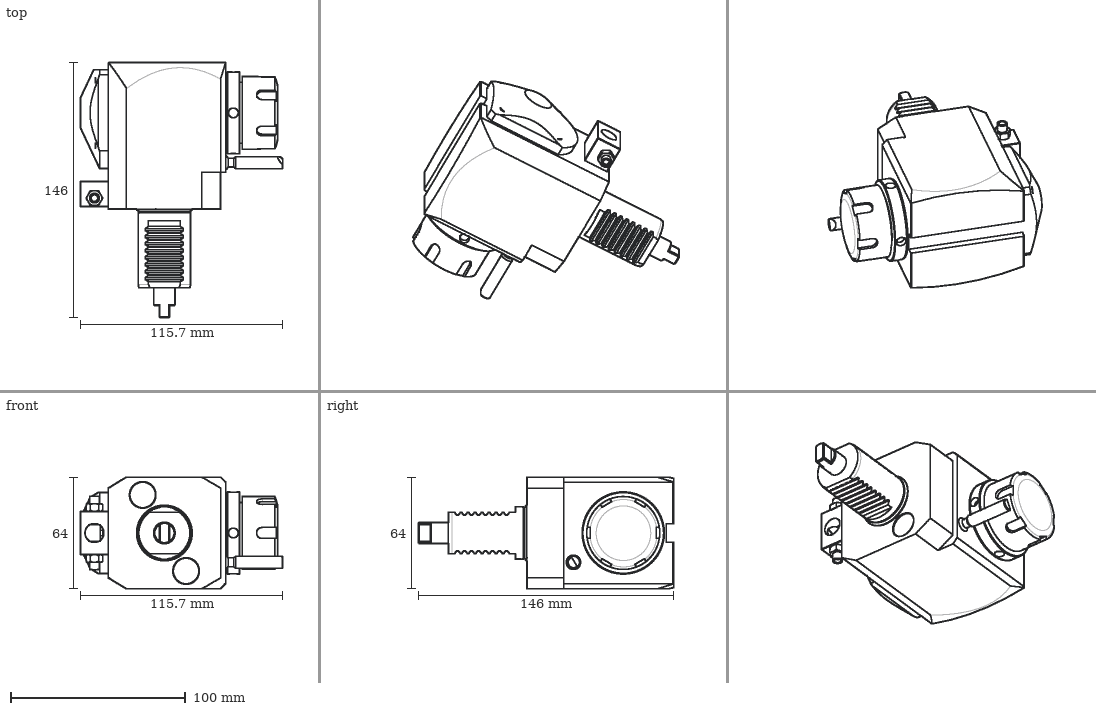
import cadquery as cq
import math


body_length = 84.0
body_half_height = 32.0
body_left = -32.1
body_right = 35.2
front_right = 32.1
step_length = 21.0
bevel_width = 10.4
bevel_drop = 6.3
front_bevel_width = 10.8
right_chamfer = 3.0
back_edge_chamfer = 0.6
back_slot_width = 10.4
back_slot_depth = 4.2
crown_radius = 155.3
crown_x = 9.0
crown_back_height = 31.2
crown_angle = 14.2

plug_x = 12.4
plug_z = 21.8
plug_radius = 7.6
plug_depth = 0.5
plug_slant = 0.3

spindle_y = 55.0

left_end = -48.0
cover_radius = 31.8
cover_rim = 5.0
cover_tip_radius = 8.6
cover_half_height = 23.2
cover_back = body_length - back_slot_depth
cover_corner = 2.0
facet_start = 5.7
facet_angle = 31.7
screw_offset = 17.1
screw_radius = 3.0
screw_head_x = -39.5

block_half_height = 12.5
block_front = 1.3
block_depth = 14.7
block_edge = 0.3
block_axis_x = -40.0
side_port_y = 8.8
side_port_radius = 4.8
side_port_depth = 11.2
feed_radius = 1.5
feed_depth = 1.5
front_port_radius = 5.4
front_port_depth = side_port_y - block_front
fitting_y = 6.3
hex_flats = 8.2
hex_height = 4.1
hex_edge = 0.5
fitting_radius = 2.8
fitting_height = 4.4
socket_radius = 1.9
socket_depth = 2.2

shank_radius = 15.0
shank_length = 45.0
shank_taper = 0.5
shank_taper_length = 1.9
collar_radius = 15.9
collar_length = 0.5
relief_radius = 14.6
relief_start = 1.5
relief_end = 2.2
flat_height = 12.0
flat_start = 6.5
groove_count = 8
groove_span = 28.0
groove_start = 11.7
groove_depth = 1.6
groove_half_top = 1.8
groove_half_floor = 0.6
drive_radius = 6.1
drive_end = 55.2
tang_end = 62.0
tang_half_width = 3.0
tang_chamfer = 0.6

gap_radius = 22.9
ring_start = 35.8
ring_end = 43.2
ring_radius = 23.5
ring_chamfer = 0.5
neck_radius = 17.5
nut_start = 44.4
nut_radius = 20.9
nut_edge_start = 63.0
nut_edge_end = 63.8
nut_edge_radius = 19.3
nut_end = 64.8
nut_tip_radius = 15.6
nut_slots = 6
nut_slot_start = 52.7
nut_slot_width = 6.3
nut_slot_floor = 18.8
ring_holes = 4
ring_hole_x = 39.4
ring_hole_radius = 2.8
ring_hole_depth = 3.6

pipe_y = 26.5
pipe_z = -16.8
pipe_radius = 3.5
pipe_start = 40.9
pipe_end = 67.7
pipe_neck_radius = 2.6
pipe_collar_radius = 4.1
pipe_collar_end = 36.5
pipe_taper = 1.2
pipe_edge = 0.5
pipe_bevel = 2.9


def x_cylinder(radius, x_from, x_to, y, z):
    return cq.Workplane("YZ", origin=(x_from, y, z)).circle(radius).extrude(x_to - x_from)


def y_plate(points, y_from, y_to):
    """Prism along Y from an X-Z outline."""
    return cq.Workplane("XZ", origin=(0, y_to, 0)).polyline(points).close().extrude(y_to - y_from)


def mirrored_outline(upper):
    """Close an X-Z outline symmetric about Z = 0."""
    return upper + [(x, -z) for x, z in reversed(upper)]


def make_body():
    bevel_left = [
        (body_left, body_half_height - bevel_drop),
        (body_left + bevel_width, body_half_height),
    ]
    rear_right = [
        (body_right - right_chamfer, body_half_height),
        (body_right, body_half_height - right_chamfer),
    ]
    front_bevel = [
        (front_right - front_bevel_width, body_half_height),
        (front_right, body_half_height - bevel_drop),
    ]
    rear = y_plate(mirrored_outline(bevel_left + rear_right), step_length, body_length)
    rear = rear.edges("|Z and >Y").chamfer(back_edge_chamfer)
    front = y_plate(mirrored_outline(bevel_left + front_bevel), 0, step_length)
    body = front.union(rear)
    front_radius = crown_radius + body_length * math.tan(math.radians(crown_angle))
    for side in (1, -1):
        crown_z = side * (crown_back_height - crown_radius)
        crown = cq.Solid.makeCone(
            front_radius, crown_radius, body_length,
            pnt=cq.Vector(crown_x, 0, crown_z), dir=cq.Vector(0, 1, 0),
        )
        body = body.intersect(cq.Workplane(crown))
    return body


def cut_plug_recess(body, x, z):
    recess = cq.Solid.makeCone(
        plug_radius, plug_radius - plug_slant, plug_depth,
        pnt=cq.Vector(x, 0, z), dir=cq.Vector(0, 1, 0),
    )
    return body.cut(cq.Workplane(recess))


def make_cover():
    rim_x = body_left - cover_rim
    dome = (
        cq.Workplane("XY")
        .polyline([
            (body_left, 0), (body_left, cover_radius), (rim_x, cover_radius),
            (left_end, cover_tip_radius), (left_end, 0),
        ])
        .close()
        .revolve(360, (0, 0, 0), (1, 0, 0))
        .translate((0, spindle_y, 0))
    )
    cover_front = spindle_y - cover_radius
    trim = (
        cq.Workplane("XY")
        .box(
            body_left - left_end, cover_back - cover_front, 2 * cover_half_height,
            centered=(False, False, True),
        )
        .translate((left_end, cover_front, 0))
        .edges("|X and >Y")
        .chamfer(cover_corner)
    )
    facet_x = body_left - facet_start
    facet_drop = (facet_x - left_end) * math.tan(math.radians(facet_angle))
    facets = y_plate(
        mirrored_outline([
            (left_end, cover_half_height - facet_drop), (facet_x, cover_half_height),
            (body_left, cover_half_height),
        ]),
        cover_front, cover_back,
    )
    cover = dome.intersect(trim).intersect(facets)
    for dy in (-screw_offset, screw_offset):
        for dz in (-screw_offset, screw_offset):
            cover = cover.union(x_cylinder(screw_radius, screw_head_x, body_left, spindle_y + dy, dz))
    return cover


def make_fitting():
    """Hexagon fitting standing on the top of the coolant block."""
    base = cq.Workplane("XY", origin=(block_axis_x, fitting_y, block_half_height))
    hex_corners = hex_flats / math.cos(math.pi / 6)
    rounding = base.circle(hex_corners / 2).extrude(hex_height).faces("<Z or >Z").chamfer(hex_edge)
    hexagon = base.polygon(6, hex_corners).extrude(hex_height).intersect(rounding)
    stem = base.circle(fitting_radius).extrude(hex_height + fitting_height)
    return hexagon.union(stem).faces(">Z").workplane().circle(socket_radius).cutBlind(-socket_depth)


def make_block():
    block = (
        cq.Workplane("XY")
        .box(body_left - left_end, block_depth, 2 * block_half_height, centered=(False, False, True))
        .translate((left_end, block_front, 0))
        .edges("not(>X)")
        .chamfer(block_edge)
    )
    front_port = (
        cq.Workplane("XZ", origin=(block_axis_x, block_front, 0))
        .circle(front_port_radius)
        .extrude(-front_port_depth)
    )
    side_end = left_end + side_port_depth
    side_port = x_cylinder(side_port_radius, left_end, side_end, side_port_y, 0)
    feed = x_cylinder(feed_radius, side_end, side_end + feed_depth, side_port_y, 0)
    block = block.cut(front_port).cut(side_port).cut(feed)
    fitting = make_fitting()
    return block.union(fitting).union(fitting.mirror("XY"))


def make_groove(y):
    """Trapezoid groove across the shank flat, pointing down from the flat."""
    return (
        cq.Workplane("YZ", origin=(-shank_radius, y, flat_height))
        .polyline([
            (-groove_half_top, 0), (-groove_half_floor, -groove_depth),
            (groove_half_floor, -groove_depth), (groove_half_top, 0),
        ])
        .close()
        .extrude(2 * shank_radius)
    )


def make_shank():
    profile = [
        (0, 0), (collar_radius, 0), (collar_radius, -collar_length),
        (relief_radius, -relief_start), (relief_radius, -relief_end),
        (shank_radius, -relief_end), (shank_radius, -shank_length + shank_taper_length),
        (shank_radius - shank_taper, -shank_length),
        (0, -shank_length),
    ]
    shank = cq.Workplane("XY").polyline(profile).close().revolve(360, (0, 0, 0), (0, 1, 0))
    flat_length = shank_length - flat_start
    flat = (
        cq.Workplane("XY")
        .box(2 * shank_radius, flat_length, shank_radius, centered=(True, False, False))
        .translate((0, -shank_length, flat_height))
    )
    cutter = flat
    groove_pitch = groove_span / (groove_count - 1)
    for i in range(groove_count):
        cutter = cutter.union(make_groove(-groove_start - i * groove_pitch))
    return shank.cut(cutter).cut(cutter.mirror("XY"))


def make_drive():
    base = cq.Workplane("XZ", origin=(0, -shank_length, 0))
    cylinder = base.circle(drive_radius).extrude(drive_end - shank_length)
    cylinder = cylinder.faces("<Y").chamfer(tang_chamfer)
    flats = base.rect(2 * tang_half_width, 2 * drive_radius).extrude(tang_end - shank_length)
    tang = (
        base.circle(drive_radius)
        .extrude(tang_end - shank_length)
        .intersect(flats)
        .edges("|Y")
        .chamfer(tang_chamfer)
        .faces("<Y")
        .chamfer(tang_chamfer)
    )
    return cylinder.union(tang)


def make_nose():
    profile = [
        (body_right, 0), (body_right, gap_radius), (ring_start, gap_radius),
        (ring_start, ring_radius - ring_chamfer), (ring_start + ring_chamfer, ring_radius),
        (ring_end - ring_chamfer, ring_radius), (ring_end, ring_radius - ring_chamfer),
        (ring_end, neck_radius), (nut_start, neck_radius), (nut_start, nut_radius),
        (nut_edge_start, nut_radius), (nut_edge_end, nut_edge_radius),
        (nut_end, nut_tip_radius), (nut_end, 0),
    ]
    nose = cq.Workplane("XY").polyline(profile).close().revolve(360, (0, 0, 0), (1, 0, 0))
    slot_length = nut_end - nut_slot_start + nut_slot_width
    slot = (
        cq.Workplane("XY", origin=(nut_slot_start + slot_length / 2, 0, nut_slot_floor))
        .slot2D(slot_length, nut_slot_width)
        .extrude(nut_radius)
    )
    for i in range(nut_slots):
        angle = 90 + i * 360 / nut_slots
        nose = nose.cut(slot.rotate((0, 0, 0), (1, 0, 0), angle))
    hole_floor = ring_radius - ring_hole_depth
    hole = (
        cq.Workplane("XZ")
        .polyline([
            (0, hole_floor - ring_hole_radius), (ring_hole_radius, hole_floor),
            (ring_hole_radius, ring_radius), (0, ring_radius),
        ])
        .close()
        .revolve(360, (0, 0, 0), (0, 1, 0))
        .translate((ring_hole_x, 0, 0))
    )
    for i in range(ring_holes):
        nose = nose.cut(hole.rotate((0, 0, 0), (1, 0, 0), i * 360 / ring_holes))
    return nose.translate((0, spindle_y, 0))


def make_pipe():
    """Pipe along X with its tip bevelled on the side that faces the spindle axis."""
    tool_direction = math.degrees(math.atan2(-pipe_z, spindle_y - pipe_y))
    profile = [
        (body_right, 0), (body_right, pipe_collar_radius),
        (pipe_collar_end, pipe_neck_radius), (pipe_start - pipe_taper, pipe_neck_radius),
        (pipe_start, pipe_radius), (pipe_end - pipe_edge, pipe_radius),
        (pipe_end, pipe_radius - pipe_edge), (pipe_end, 0),
    ]
    pipe = cq.Workplane("XY").polyline(profile).close().revolve(360, (0, 0, 0), (1, 0, 0))
    bevel = (
        cq.Workplane("XY", origin=(0, 0, -pipe_radius))
        .polyline([
            (pipe_end - pipe_bevel, pipe_radius), (pipe_end, pipe_radius),
            (pipe_end, pipe_radius - pipe_bevel),
        ])
        .close()
        .extrude(2 * pipe_radius)
        .rotate((0, 0, 0), (1, 0, 0), tool_direction)
    )
    return pipe.cut(bevel).translate((0, pipe_y, pipe_z))


def make_back_slot():
    return (
        cq.Workplane("XY")
        .box(body_right - body_left, back_slot_depth, back_slot_width, centered=(False, False, True))
        .translate((body_left, body_length - back_slot_depth, 0))
    )


body = make_body().cut(make_back_slot())
body = cut_plug_recess(body, -plug_x, plug_z)
body = cut_plug_recess(body, plug_x, -plug_z)

result = (
    body.union(make_cover())
    .union(make_block())
    .union(make_shank())
    .union(make_drive())
    .union(make_nose())
    .union(make_pipe())
)